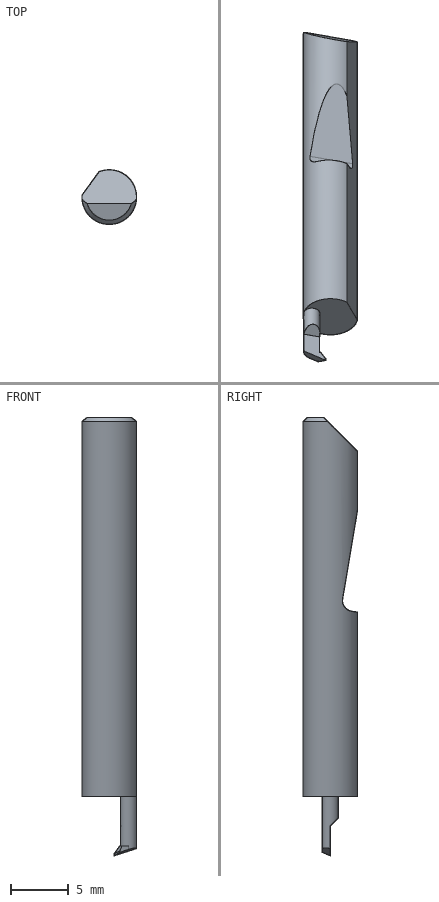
import cadquery as cq
import math

total_length = 38.1
shank_diameter = 4.75
shank_radius = shank_diameter / 2
neck_length = 5.15
shank_length = total_length - neck_length
end_chamfer = 0.4

flat_distance = 2.02
flat_normal_angle = 144.0

slope_start_y = -0.57

notch_top_z = 24.9
notch_angle = 9.5
notch_side_length = 8.75
notch_corner_radius = 0.9

neck_radius = 0.705
neck_center_x = shank_radius - neck_radius
rear_half_end_z = -2.55

head_top_z = -4.25
tip_x = 0.42
tip_land = 0.2
rake_shoulder_x = 0.9
front_tip_x = 0.9
front_tip_land = 0.1
front_shoulder_x = 1.1

underside_angle = 18.0
underside_relief = 0.15


def yz_prism(points):
    """Solid with a YZ outline, wider than the shank along X."""
    outline = cq.Workplane("YZ").polyline(points).close()
    return outline.extrude(shank_radius * 2, both=True)


def make_shank():
    shank = cq.Workplane("XY").circle(shank_radius).extrude(shank_length)
    return shank.faces(">Z").chamfer(end_chamfer)


def side_flat_cutter():
    width = 2 * shank_diameter
    cutter = cq.Workplane("XY").box(shank_diameter, width, shank_length, centered=(False, True, False))
    return cutter.translate((flat_distance, 0, 0)).rotate((0, 0, 0), (0, 0, 1), flat_normal_angle)


def end_slope_cutter():
    run = shank_diameter
    return yz_prism([
        (slope_start_y, shank_length),
        (slope_start_y + run, shank_length - run),
        (slope_start_y + run, shank_length),
    ])


def notch_cutter():
    """Right-angled notch tilted about its upper end, with a rounded corner."""
    depth = shank_diameter
    notch = cq.Workplane("XY").box(2 * depth, depth, notch_side_length, centered=(True, False, False))
    notch = notch.translate((0, 0, -notch_side_length))
    notch = notch.edges("<Y and <Z").fillet(notch_corner_radius)
    notch = notch.rotate((0, 0, 0), (1, 0, 0), -notch_angle)
    return notch.translate((0, shank_radius, notch_top_z))


def neck_bar():
    return cq.Workplane("XY").center(neck_center_x, 0).circle(neck_radius).extrude(-neck_length)


def rear_half_cutter():
    return yz_prism([
        (0, rear_half_end_z),
        (neck_radius * 2, rear_half_end_z + neck_radius * 2),
        (neck_radius * 2, -neck_length),
        (0, -neck_length),
    ])


def underside_z(x, relief):
    return -neck_length + (x - tip_x) * math.tan(math.radians(underside_angle)) + relief


def rake_to_front_loft(rake_points, front_points):
    """Ruled solid between XZ outlines on the rake face and on the front face."""
    rake = cq.Workplane("XZ").polyline(rake_points).close()
    front = rake.workplane(offset=neck_radius).polyline(front_points).close()
    return front.loft(ruled=True)


def underside_cutter():
    def outline(relief):
        left = tip_x
        right = shank_radius + neck_radius
        floor_z = -2 * neck_length
        return [
            (left, underside_z(left, relief)),
            (right, underside_z(right, relief)),
            (right, floor_z),
            (left, floor_z),
        ]

    return rake_to_front_loft(outline(0), outline(underside_relief))


def cutting_head():
    def outline(corner_x, land, shoulder_x, relief):
        corner_z = underside_z(corner_x, relief)
        return [
            (corner_x, corner_z),
            (corner_x, corner_z + land),
            (shoulder_x, head_top_z),
            (neck_center_x, head_top_z),
            (neck_center_x, underside_z(neck_center_x, relief)),
        ]

    rake = outline(tip_x, tip_land, rake_shoulder_x, 0)
    front = outline(front_tip_x, front_tip_land, front_shoulder_x, underside_relief)
    return rake_to_front_loft(rake, front)


shank = make_shank().cut(side_flat_cutter()).cut(end_slope_cutter()).cut(notch_cutter())
neck = neck_bar().cut(rear_half_cutter()).cut(underside_cutter())
result = shank.union(neck).union(cutting_head())